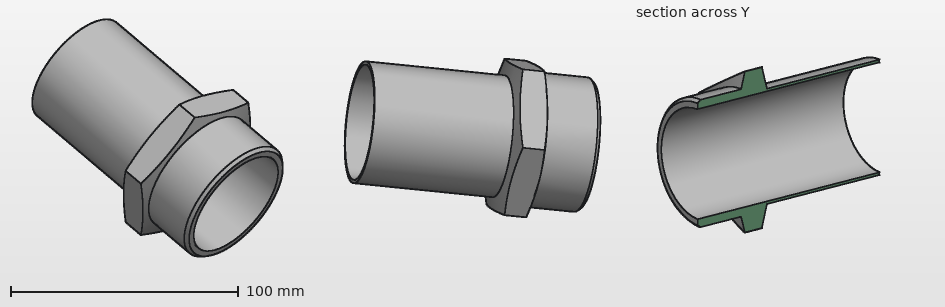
import cadquery as cq
import math

total_length = 102.0
tube_diameter = 54.0
bore_diameter = 51.0

collar_start = 62.9
collar_end = 77.6
across_flats = 65.0
across_corners = across_flats / math.cos(math.radians(30))
cone_angle = 15.0

end_diameter = 59.6
end_chamfer_length = 1.6
end_chamfer_depth = 1.4


def rod(start, end, diameter):
    """Solid cylinder along X between two positions."""
    return cq.Workplane("YZ", origin=(start, 0, 0)).circle(diameter / 2).extrude(end - start)


def coned_envelope():
    """Revolved body whose end faces slope back from the tube and the end piece."""
    tube_radius = tube_diameter / 2
    end_radius = end_diameter / 2
    corner_radius = across_corners / 2
    slope = math.tan(math.radians(cone_angle))
    corner_start = collar_start + (corner_radius - tube_radius) * slope
    corner_end = collar_end - (corner_radius - end_radius) * slope
    return (
        cq.Workplane("XY")
        .moveTo(collar_start, 0)
        .lineTo(collar_start, tube_radius)
        .lineTo(corner_start, corner_radius)
        .lineTo(corner_end, corner_radius)
        .lineTo(collar_end, end_radius)
        .lineTo(collar_end, 0)
        .close()
        .revolve(360, (0, 0, 0), (1, 0, 0))
    )


def hex_collar():
    """Hexagon with corners on +Z and -Z, trimmed by the coned envelope."""
    prism = (
        cq.Workplane("YZ", origin=(collar_start, 0, 0))
        .transformed(rotate=(0, 0, 90))
        .polygon(6, across_corners)
        .extrude(collar_end - collar_start)
    )
    return prism.intersect(coned_envelope())


def end_piece():
    """Short cylinder with a chamfered outer rim."""
    return (
        rod(collar_end, total_length, end_diameter)
        .faces(">X")
        .edges()
        .chamfer(end_chamfer_length, end_chamfer_depth)
    )


tube = rod(0, collar_start, tube_diameter)
bore = rod(0, total_length, bore_diameter)
result = tube.union(hex_collar()).union(end_piece()).cut(bore)